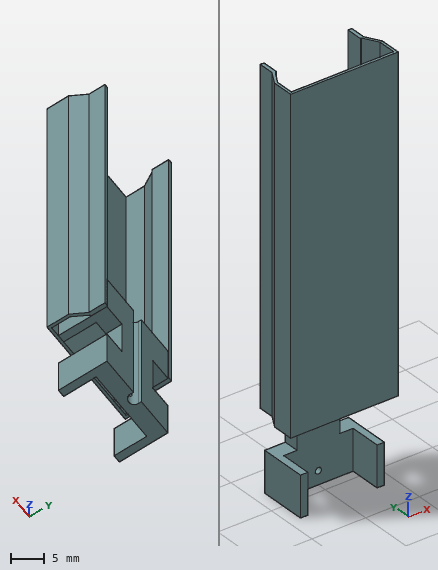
import cadquery as cq

TOTAL_HEIGHT = 75.0
CHANNEL_BOTTOM = 15.0
CHANNEL_WIDTH = 20.0
CHANNEL_DEPTH = 9.5
WALL = 0.5
SIDE_DEPTH = 4.0
LIP_START = 6.6
LIP_STEP = 6.45
LIP_OUTER_WIDTH = 17.0

HOLDER_WIDTH = 15.6
HOLDER_BACK = 9.4
PLATE_THICKNESS = 2.9
ARM_THICKNESS = 1.35
SECTION_HEIGHT = 7.5
NECK_WIDTH = 7.95
GROOVE_WIDTH = 2.0
GROOVE_DEPTH = 1.6
HOLE_DIAMETER = 1.1
HOLE_HEIGHT = 2.5


def make_channel():
    """Extrude the bent-wall outline along Z, with its front face at Y = 0."""
    outer = CHANNEL_WIDTH / 2
    lip_outer = LIP_OUTER_WIDTH / 2
    lip_inner = HOLDER_WIDTH / 2
    right_half = [
        (outer, 0),
        (outer, SIDE_DEPTH),
        (lip_outer, LIP_START),
        (lip_outer, CHANNEL_DEPTH),
        (lip_inner, CHANNEL_DEPTH),
        (lip_inner, LIP_STEP),
        (lip_outer - WALL, LIP_STEP),
        (outer - WALL, SIDE_DEPTH - WALL / 4),
        (outer - WALL, WALL),
    ]
    left_half = [(-x, y) for x, y in reversed(right_half)]
    return (
        cq.Workplane("XY", origin=(0, 0, CHANNEL_BOTTOM))
        .polyline(right_half + left_half)
        .close()
        .extrude(TOTAL_HEIGHT - CHANNEL_BOTTOM)
    )


def block(width, front, back, height):
    """Box centred on X, standing on Z = 0."""
    box = cq.Workplane("XY").box(width, back - front, height, centered=(True, False, False))
    return box.translate((0, front, 0))


def make_u_section(plate_front):
    """Back plate with two arms reaching forward to the channel's front wall."""
    outside = block(HOLDER_WIDTH, WALL, HOLDER_BACK, SECTION_HEIGHT)
    arm_gap = block(HOLDER_WIDTH - 2 * ARM_THICKNESS, WALL, plate_front, SECTION_HEIGHT)
    return outside.cut(arm_gap)


def make_groove(height):
    """Round-bottomed groove cutter along the back of the holder."""
    radius = GROOVE_WIDTH / 2
    centre = HOLDER_BACK - GROOVE_DEPTH + radius
    round_bottom = cq.Workplane("XY").center(0, centre).circle(radius).extrude(height)
    return block(GROOVE_WIDTH, centre, HOLDER_BACK, height).union(round_bottom)


def make_hole():
    """Small hole cutter through the lower back plate, opening into the groove."""
    return (
        cq.Workplane("XZ", origin=(0, HOLDER_BACK, HOLE_HEIGHT))
        .circle(HOLE_DIAMETER / 2)
        .extrude(PLATE_THICKNESS)
    )


def make_holder():
    """Join the sections with the neck, then cut the groove and the hole."""
    plate_front = HOLDER_BACK - PLATE_THICKNESS
    holder_height = CHANNEL_BOTTOM + SECTION_HEIGHT
    body = block(NECK_WIDTH, plate_front, HOLDER_BACK, holder_height)
    for bottom in (0, CHANNEL_BOTTOM):
        body = body.union(make_u_section(plate_front).translate((0, 0, bottom)))
    return body.cut(make_groove(holder_height)).cut(make_hole())


channel = make_channel()
holder = make_holder()
result = cq.Compound.makeCompound([channel.val(), holder.val()])